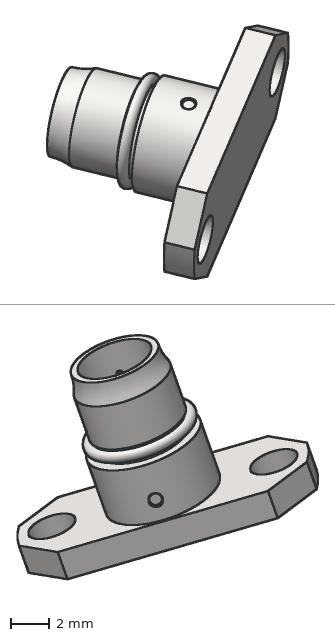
import cadquery as cq
import math


total_length = 9.9
flange_thickness = 1.66
flange_length = 15.99
flange_height = 6.6
flange_flat_length = 11.55
mount_hole_radius = 1.3
mount_hole_spacing = 12.18
flange_x = total_length - flange_thickness

tip_radius = 2.41
nose_radius = 2.67
nose_length = 1.3
body_radius = 3.15
body_start = 4.91
groove_start = 3.92
groove_radius = 2.48

ring_section_radius = 0.32
ring_x = 4.3
ring_center_radius = groove_radius + ring_section_radius

bore_radius = 2.03
bore_depth = body_start
recess_radius = 1.02
recess_depth = 0.48
contact_radius = 0.51
contact_tip_radius = 0.11
contact_tip_x = 0.77
contact_cone_length = 0.72

dimple_x = 7.0
dimple_radius = 0.4
dimple_floor_radius = 0.34
dimple_depth = 0.1


def x_cylinder(radius, start, end):
    return cq.Workplane("YZ", origin=(start, 0, 0)).circle(radius).extrude(end - start)


def make_flange():
    """Plate with 45 degree corners, arched ends and two mounting holes."""
    plate = x_cylinder(flange_length / 2, flange_x, total_length)
    half_flat = flange_flat_length / 2
    half_height = flange_height / 2
    point_y = half_flat + half_height
    outline = (
        cq.Workplane("YZ", origin=(flange_x, 0, 0))
        .polyline([
            (-half_flat, half_height),
            (half_flat, half_height),
            (point_y, 0),
            (half_flat, -half_height),
            (-half_flat, -half_height),
            (-point_y, 0),
        ])
        .close()
        .extrude(flange_thickness)
    )
    holes = (
        cq.Workplane("YZ", origin=(flange_x, 0, 0))
        .rarray(mount_hole_spacing, 0.16, 2, 1)
        .circle(mount_hole_radius)
        .extrude(flange_thickness)
    )
    return plate.intersect(outline).cut(holes)


def make_barrel():
    """Turned barrel with a flared nose and a ring groove."""
    return (
        cq.Workplane("XY")
        .lineTo(0, tip_radius)
        .threePointArc(nose_middle(), (nose_length, nose_radius))
        .lineTo(groove_start, nose_radius)
        .lineTo(groove_start, groove_radius)
        .lineTo(body_start, groove_radius)
        .lineTo(body_start, body_radius)
        .lineTo(flange_x, body_radius)
        .lineTo(flange_x, 0)
        .close()
        .revolve(360, (0, 0, 0), (1, 0, 0))
    )


def nose_middle():
    """Middle of the concave nose arc, which leaves the tip parallel to the axis."""
    rise = nose_radius - tip_radius
    arc_radius = (nose_length**2 + rise**2) / (2 * rise)
    half_angle = math.asin(nose_length / arc_radius) / 2
    return (
        arc_radius * math.sin(half_angle),
        tip_radius + arc_radius * (1 - math.cos(half_angle)),
    )


def make_contact():
    """Center contact with a truncated conical point, rooted in the recess floor."""
    root_x = bore_depth + recess_depth
    return (
        cq.Workplane("XY")
        .moveTo(contact_tip_x, 0)
        .lineTo(contact_tip_x, contact_tip_radius)
        .lineTo(contact_tip_x + contact_cone_length, contact_radius)
        .lineTo(root_x, contact_radius)
        .lineTo(root_x, 0)
        .close()
        .revolve(360, (0, 0, 0), (1, 0, 0))
    )


def make_dimple(side):
    """Tapered cutter for one dimple; side is +1 for the top, -1 for the bottom."""
    cutter = cq.Solid.makeCone(
        dimple_floor_radius,
        dimple_radius,
        dimple_depth,
        pnt=cq.Vector(dimple_x, 0, side * (body_radius - dimple_depth)),
        dir=cq.Vector(0, 0, side),
    )
    return cq.Workplane(cutter)


def make_housing():
    """Flanged housing with its socket and integral center contact."""
    housing = make_barrel().union(make_flange())
    housing = housing.cut(x_cylinder(bore_radius, 0, bore_depth))
    housing = housing.cut(x_cylinder(recess_radius, bore_depth, bore_depth + recess_depth))
    for side in (1, -1):
        housing = housing.cut(make_dimple(side))
    return housing.union(make_contact())


def make_sealing_ring():
    """O-ring resting on the groove floor."""
    return (
        cq.Workplane("XY")
        .center(ring_x, ring_center_radius)
        .circle(ring_section_radius)
        .revolve(360, (0, -ring_center_radius, 0), (1, -ring_center_radius, 0))
    )


housing = make_housing()
sealing_ring = make_sealing_ring()
result = cq.Compound.makeCompound([housing.val(), sealing_ring.val()])